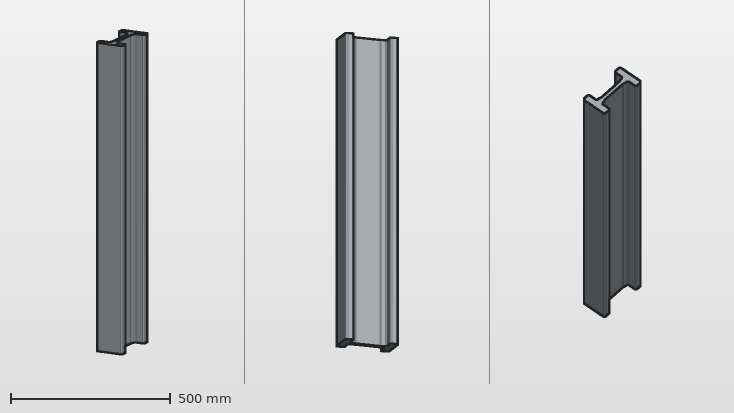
import cadquery as cq

length = 1000.0
flange_width = 90.0
depth = 175.0

flange_thickness = 26.0
web_thickness = 15.0
web_straight_half_length = 42.0
web_root_thickness = 24.0
root_radius = 5.0
flange_edge_radius = 6.0
toe_radius = 5.0
web_bend_radius = 15.0

half_width = flange_width / 2
half_depth = depth / 2
flange_inner_y = half_depth - flange_thickness


def quarter_outline():
    """One quarter of the I-section, with the web thickening towards the flange."""
    return (
        cq.Workplane("XY")
        .moveTo(0, 0)
        .lineTo(web_thickness / 2, 0)
        .lineTo(web_thickness / 2, web_straight_half_length)
        .lineTo(web_root_thickness / 2, flange_inner_y)
        .lineTo(half_width, flange_inner_y)
        .lineTo(half_width, half_depth)
        .lineTo(0, half_depth)
        .close()
    )


def edge_near(x, y):
    """Select the lengthwise edge nearest a point of the section."""
    return cq.selectors.NearestToPointSelector((x, y, length / 2))


quarter = quarter_outline().extrude(length)
quarter = quarter.edges(edge_near(half_width, half_depth)).fillet(flange_edge_radius)
quarter = quarter.edges(edge_near(web_root_thickness / 2, flange_inner_y)).fillet(root_radius)
quarter = quarter.edges(edge_near(half_width, flange_inner_y)).fillet(toe_radius)
quarter = quarter.edges(edge_near(web_thickness / 2, web_straight_half_length)).fillet(web_bend_radius)

half = quarter.union(quarter.mirror("YZ"))
result = half.union(half.mirror("XZ")).clean()